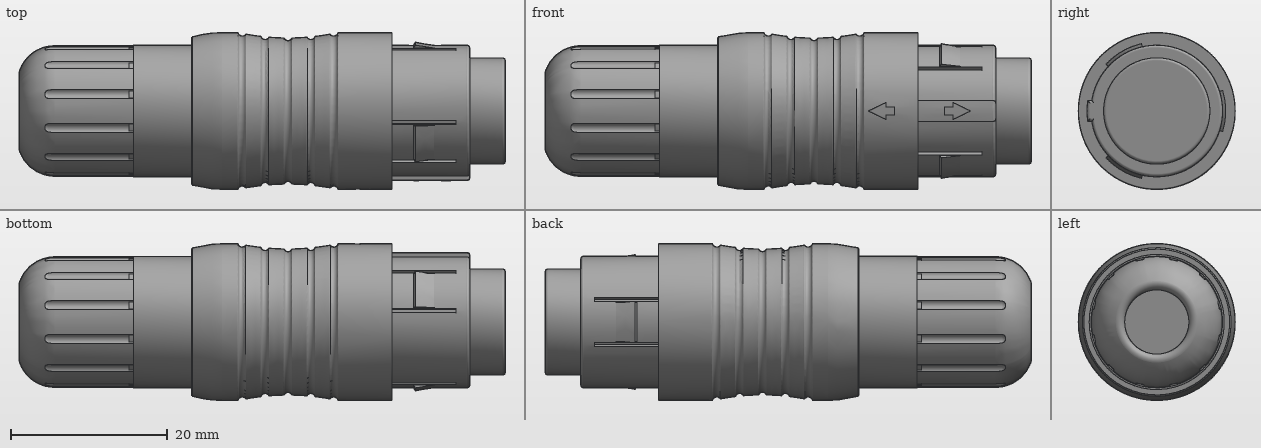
import cadquery as cq
import math


total_length = 62.0
cap_dome_end = 4.5
cap_end = 14.6
sleeve_start = 21.95
sleeve_shoulder = 25.9
waist_start = 27.95
waist_end = 40.6
sleeve_end = 47.55
insert_end = 57.5

body_radius = 16.8 / 2
cap_radius = 16.7 / 2
sleeve_radius = 20.0 / 2
sleeve_mouth_radius = 9.5
sleeve_recess_radius = 8.6
waist_radius = 18.65 / 2
nose_radius = 13.6 / 2

entry_radius = 8.2 / 2
entry_lip_radius = 0.8
dome_start_radius = 5.2
entry_depth = 1.75
entry_groove_start = 1.1
entry_groove_width = 0.3
entry_groove_depth = 0.2

mouth_chamfer = 0.2
mouth_recess_depth = 0.6
sleeve_end_fillet = 0.1
groove_edge_fillet = 0.1
end_fillet = 0.4

flute_count = 12
flute_radius = 1.5 / 2
flute_width = 1.25
flute_start = 3.7
flute_step = 14.0
flute_step_radius = 8.2

groove_count = 5
groove_pitch = 2.9
groove_radius = 0.55
groove_depth = 0.34

latch_angles = (0, 120, 240)
latch_half_angle = 17.3
slot_offset_angle = 20.0
latch_start = 50.3
latch_peak = 50.5
latch_end = 52.95
latch_radius = 8.8
slot_end = 55.75
slot_width = 0.5
slot_depth = 0.75

key_radius = 17.8 / 2
key_width = 2.65

arrow_depth = 0.1
arrow_length = 3.35
arrow_head_length = 2.25
arrow_head_width = 2.2
arrow_shaft_width = 1.0
sleeve_arrow_tip = 41.2
insert_arrow_tip = 54.25


def revolve_profile(profile, angle=360):
    """Turn a profile drawn in (axial, radial) coordinates about the X axis."""
    return profile.close().revolve(angle, (0, 0, 0), (1, 0, 0))


def ring(start, end, inner, outer):
    """A plain tube between two stations."""
    plane = cq.Workplane("YZ", origin=(start, 0, 0))
    return plane.circle(outer).extrude(end - start).cut(plane.circle(inner).extrude(end - start))


def arc_midpoint(center, start, end):
    """Point halfway along the short arc between two points."""
    x = (start[0] + end[0]) / 2 - center[0]
    r = (start[1] + end[1]) / 2 - center[1]
    stretch = math.dist(center, start) / math.hypot(x, r)
    return (center[0] + x * stretch, center[1] + r * stretch)


def make_cap_and_core():
    """Domed cable cap with a rolled entry lip, carried on as the round core."""
    lip_center = (entry_lip_radius, entry_radius + entry_lip_radius)
    lip_start = (entry_lip_radius, entry_radius)
    lip_rise = dome_start_radius - lip_center[1]
    lip_end = (entry_lip_radius - math.sqrt(entry_lip_radius**2 - lip_rise**2), dome_start_radius)
    dome_end = (cap_dome_end, cap_radius)
    dome_run = cap_dome_end - lip_end[0]
    dome_rise = cap_radius - dome_start_radius
    dome_radius = (dome_run**2 + dome_rise**2) / (2 * dome_rise)
    dome_center = (cap_dome_end, cap_radius - dome_radius)
    profile = (
        cq.Workplane("XY")
        .moveTo(entry_depth, 0)
        .lineTo(entry_depth, entry_radius)
        .lineTo(*lip_start)
        .threePointArc(arc_midpoint(lip_center, lip_start, lip_end), lip_end)
        .threePointArc(arc_midpoint(dome_center, lip_end, dome_end), dome_end)
        .lineTo(cap_end, cap_radius)
        .lineTo(cap_end, body_radius)
        .lineTo(sleeve_end, body_radius)
        .lineTo(sleeve_end, 0)
    )
    groove_end = entry_groove_start + entry_groove_width
    groove = ring(entry_groove_start, groove_end, entry_radius, entry_radius + entry_groove_depth)
    return revolve_profile(profile).cut(groove)


def make_sleeve():
    """Coupling sleeve with a rounded shoulder and a hollow waist."""
    shoulder_start = (sleeve_start + mouth_chamfer, sleeve_mouth_radius)
    shoulder_end = (sleeve_shoulder, sleeve_radius)
    run = shoulder_end[0] - shoulder_start[0]
    rise = shoulder_end[1] - shoulder_start[1]
    shoulder_radius = (run**2 + rise**2) / (2 * rise)
    shoulder_center = (sleeve_shoulder, sleeve_radius - shoulder_radius)
    shoulder_middle = arc_midpoint(shoulder_center, shoulder_start, shoulder_end)
    waist_middle = (waist_start + waist_end) / 2
    profile = (
        cq.Workplane("XY")
        .moveTo(sleeve_start + mouth_recess_depth, 0)
        .lineTo(sleeve_start + mouth_recess_depth, sleeve_recess_radius)
        .lineTo(sleeve_start, sleeve_recess_radius)
        .lineTo(sleeve_start, sleeve_mouth_radius - mouth_chamfer)
        .lineTo(*shoulder_start)
        .threePointArc(shoulder_middle, shoulder_end)
        .lineTo(waist_start, sleeve_radius)
        .threePointArc((waist_middle, waist_radius), (waist_end, sleeve_radius))
        .lineTo(sleeve_end, sleeve_radius)
        .lineTo(sleeve_end, 0)
    )
    sleeve = revolve_profile(profile).faces(">X").edges().fillet(sleeve_end_fillet)
    sleeve = sleeve.cut(make_waist_grooves())
    waist = cq.selectors.BoxSelector(
        (waist_start - groove_radius, -sleeve_radius, -sleeve_radius),
        (waist_end + groove_radius, sleeve_radius, sleeve_radius),
    )
    return sleeve.edges("%CIRCLE").edges(waist).fillet(groove_edge_fillet)


def make_waist_grooves():
    """Round-bottomed rings that follow the curve of the waist."""
    middle = (waist_start + waist_end) / 2
    half_length = (waist_end - waist_start) / 2
    sag = sleeve_radius - waist_radius
    curve_radius = (half_length**2 + sag**2) / (2 * sag)
    grooves = cq.Workplane("XY")
    for index in range(groove_count):
        offset = (index - (groove_count - 1) / 2) * groove_pitch
        surface = waist_radius + curve_radius - math.sqrt(curve_radius**2 - offset**2)
        center = surface - groove_depth + groove_radius
        circle = cq.Workplane("XY").center(middle + offset, center).circle(groove_radius)
        grooves = grooves.add(circle.revolve(360, (0, -center, 0), (1, -center, 0)))
    return grooves.combine()


def make_insert():
    """Insert barrel with its key rib, followed by the smaller mating nose."""
    length = insert_end - sleeve_end
    plane = cq.Workplane("YZ", origin=(sleeve_end, 0, 0))
    barrel = plane.circle(body_radius).extrude(length)
    key = plane.circle(key_radius).extrude(length)
    key_box = plane.center(-key_radius, 0).rect(key_radius, key_width).extrude(length)
    barrel = barrel.union(key.intersect(key_box)).faces(">X").edges().fillet(end_fillet)
    nose = cq.Workplane("YZ", origin=(sleeve_end, 0, 0)).circle(nose_radius)
    nose = nose.extrude(total_length - sleeve_end).faces(">X").edges().fillet(end_fillet)
    return barrel.union(nose)


def make_latch():
    """One wedge-shaped catch, spread evenly about the +Y direction."""
    root = body_radius - slot_depth
    profile = (
        cq.Workplane("XY")
        .moveTo(latch_start, root)
        .lineTo(latch_start, body_radius)
        .lineTo(latch_peak, latch_radius)
        .lineTo(latch_end, body_radius)
        .lineTo(latch_end, root)
    )
    wedge = revolve_profile(profile, 2 * latch_half_angle)
    return wedge.rotate((0, 0, 0), (1, 0, 0), -latch_half_angle)


def make_slot():
    """One narrow slot cut down from the +Y side of the insert."""
    length = slot_end - sleeve_end
    height = slot_depth + latch_radius - body_radius
    box = cq.Workplane("XY").box(length, height, slot_width, centered=(False, False, True))
    return box.translate((sleeve_end, body_radius - slot_depth, 0))


def make_flutes():
    """Axial round-bottomed grooves with ball ends around the cable cap."""
    center = cap_radius + math.sqrt(flute_radius**2 - (flute_width / 2) ** 2)
    cutter = cq.Workplane("YZ", origin=(flute_start, 0, center)).circle(flute_radius)
    cutter = cutter.extrude(cap_end - flute_start)
    cutter = cutter.union(cq.Workplane("XY", origin=(flute_start, 0, center)).sphere(flute_radius))
    pitch = 360 / flute_count
    flutes = cq.Workplane("XY")
    for index in range(flute_count):
        flutes = flutes.add(cutter.rotate((0, 0, 0), (1, 0, 0), (index + 0.5) * pitch))
    return flutes.combine()


def make_arrow(tip, direction, surface_radius):
    """Shallow arrow following a round surface on the -Y side."""
    head = tip - direction * arrow_head_length
    tail = tip - direction * arrow_length
    half_outline = [
        (head, arrow_head_width / 2),
        (head, arrow_shaft_width / 2),
        (tail, arrow_shaft_width / 2),
    ]
    mirrored = [(x, -z) for x, z in reversed(half_outline)]
    outline = [(tip, 0)] + half_outline + mirrored
    prism = cq.Workplane("XZ").polyline(outline).close().extrude(sleeve_radius)
    skin = ring(min(tip, tail), max(tip, tail), surface_radius - arrow_depth, surface_radius)
    return prism.intersect(skin)


result = make_cap_and_core().cut(make_flutes())
result = result.union(ring(flute_step, cap_end, entry_radius, flute_step_radius))
result = result.union(make_sleeve())
result = result.union(make_insert())

for latch_angle in latch_angles:
    result = result.union(make_latch().rotate((0, 0, 0), (1, 0, 0), latch_angle))
for latch_angle in latch_angles:
    for side in (-1, 1):
        slot_angle = latch_angle + side * slot_offset_angle
        result = result.cut(make_slot().rotate((0, 0, 0), (1, 0, 0), slot_angle))

result = result.cut(make_arrow(sleeve_arrow_tip, -1, sleeve_radius))
result = result.cut(make_arrow(insert_arrow_tip, 1, key_radius))